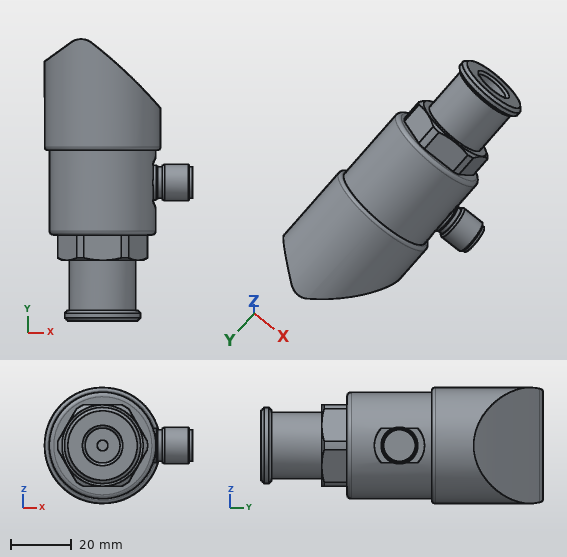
import cadquery as cq
import math

LENGTH = 92.65

BEAD_DIA = 25.0
BEAD_LENGTH = 3.5
BEAD_FRONT_CHAMFER = 1.1
BEAD_BACK_CHAMFER = 0.9
STEM_DIA = 22.0
STEM_END = 19.9

BORE_DIA = 11.5
BORE_MOUTH_DIA = 13.25
BORE_DEPTH = STEM_END
PRESSURE_HOLE_DIA = 3.5

HEX_FLATS = 26.9
HEX_TURNED_DIA = 29.6
HEX_FACE_DIA = 26.7
HEX_CHAMFER_LENGTH = 0.8
HEX_END = 28.3

BODY_DIA = 35.0
BODY_FILLET = 1.4
BODY_END = 56.05
HEAD_DIA = 38.2
HEAD_FILLET = 1.1

TIP_X = -7.0
TIP_RADIUS = 5.6
LEFT_EAVE_Y = 85.2
RIGHT_EAVE_Y = 69.9
RIGHT_START_ANGLE = 38.0

CONNECTOR_Y = 45.5
SPOT_FACE_DIA = 16.5
SPOT_FACE_X = 16.6
COLLAR_DIA = 11.5
COLLAR_END_X = 18.2
NECK_DIA = 10.4
PLUG_DIA = 12.0
PLUG_START_X = 19.55
PLUG_END_X = 28.5
PLUG_BACK_LENGTH = 0.8
PLUG_CHAMFER = 0.5
COLLAR_CHAMFER = 0.6
CONNECTOR_END_X = 29.6


def along_y(start):
    """Workplane across the main axis at Y = start, facing +Y."""
    return cq.Workplane(cq.Plane((0, start, 0), (1, 0, 0), (0, 1, 0)))


def along_x(start):
    """Workplane across the connector axis at X = start, facing +X."""
    return cq.Workplane(cq.Plane((start, CONNECTOR_Y, 0), (0, 1, 0), (1, 0, 0)))


def cylinder(plane, diameter, length):
    return plane.circle(diameter / 2).extrude(length)


def hex_corner_diameter(flats):
    """Diameter across the sharp corners of a hexagon."""
    return flats / math.cos(math.radians(30))


def make_port():
    bead = cylinder(along_y(0), BEAD_DIA, BEAD_LENGTH)
    bead = bead.faces("<Y").chamfer(BEAD_FRONT_CHAMFER)
    bead = bead.faces(">Y").chamfer(BEAD_BACK_CHAMFER)
    return bead.union(cylinder(along_y(0), STEM_DIA, STEM_END))


def make_wrench_hexagon():
    prism = along_y(STEM_END).polygon(6, hex_corner_diameter(HEX_FLATS)).extrude(HEX_END - STEM_END)
    turned = (
        cq.Workplane("XY")
        .moveTo(0, STEM_END)
        .lineTo(HEX_FACE_DIA / 2, STEM_END)
        .lineTo(HEX_TURNED_DIA / 2, STEM_END + HEX_CHAMFER_LENGTH)
        .lineTo(HEX_TURNED_DIA / 2, HEX_END)
        .lineTo(0, HEX_END)
        .close()
        .revolve(360, (0, 0, 0), (0, 1, 0))
    )
    return prism.intersect(turned)


def make_body():
    body = cylinder(along_y(HEX_END), BODY_DIA, BODY_END - HEX_END)
    body = body.faces("<Y").edges().fillet(BODY_FILLET)
    spot_face = cylinder(along_x(SPOT_FACE_X), SPOT_FACE_DIA, BODY_DIA / 2)
    return body.cut(spot_face)


def tip_tangent_angle():
    """Slope angle of the line from the left eave that is tangent to the tip arc."""
    run = TIP_X + HEAD_DIA / 2
    rise = LENGTH - TIP_RADIUS - LEFT_EAVE_Y
    return math.atan2(rise, run) + math.asin(TIP_RADIUS / math.hypot(run, rise))


def tip_point(angle):
    """Point on the tip arc, at an angle from its top (positive towards +X)."""
    x = TIP_X + TIP_RADIUS * math.sin(angle)
    y = LENGTH - TIP_RADIUS + TIP_RADIUS * math.cos(angle)
    return x, y


def make_head():
    radius = HEAD_DIA / 2
    head = cylinder(along_y(BODY_END), HEAD_DIA, LENGTH - BODY_END)
    head = head.faces("<Y").edges().fillet(HEAD_FILLET)
    roof = (
        cq.Workplane("XY")
        .moveTo(-radius, BODY_END)
        .lineTo(-radius, LEFT_EAVE_Y)
        .lineTo(*tip_point(-tip_tangent_angle()))
        .threePointArc((TIP_X, LENGTH), tip_point(math.radians(RIGHT_START_ANGLE)))
        .tangentArcPoint((radius, RIGHT_EAVE_Y), relative=False)
        .lineTo(radius, BODY_END)
        .close()
        .extrude(radius, both=True)
    )
    return head.intersect(roof)


def make_connector():
    collar = cylinder(along_x(0), COLLAR_DIA, COLLAR_END_X).faces(">X").chamfer(COLLAR_CHAMFER)
    plug = cylinder(along_x(PLUG_START_X), PLUG_DIA, PLUG_END_X - PLUG_START_X)
    plug = plug.faces("<X").chamfer(PLUG_BACK_LENGTH, PLUG_CHAMFER)
    plug = plug.faces(">X").chamfer(PLUG_CHAMFER)
    core = cylinder(along_x(0), NECK_DIA, CONNECTOR_END_X)
    return core.union(collar).union(plug)


def make_bore():
    mouth_depth = (BORE_MOUTH_DIA - BORE_DIA) / 2
    bore = (
        cq.Workplane("XY")
        .lineTo(BORE_MOUTH_DIA / 2, 0)
        .lineTo(BORE_DIA / 2, mouth_depth)
        .lineTo(BORE_DIA / 2, BORE_DEPTH)
        .lineTo(0, BORE_DEPTH)
        .close()
        .revolve(360, (0, 0, 0), (0, 1, 0))
    )
    pressure_hole = cylinder(along_y(0), PRESSURE_HOLE_DIA, HEX_END)
    return bore.union(pressure_hole)


result = (
    make_port()
    .union(make_wrench_hexagon())
    .union(make_body())
    .union(make_head())
    .union(make_connector())
    .cut(make_bore())
)